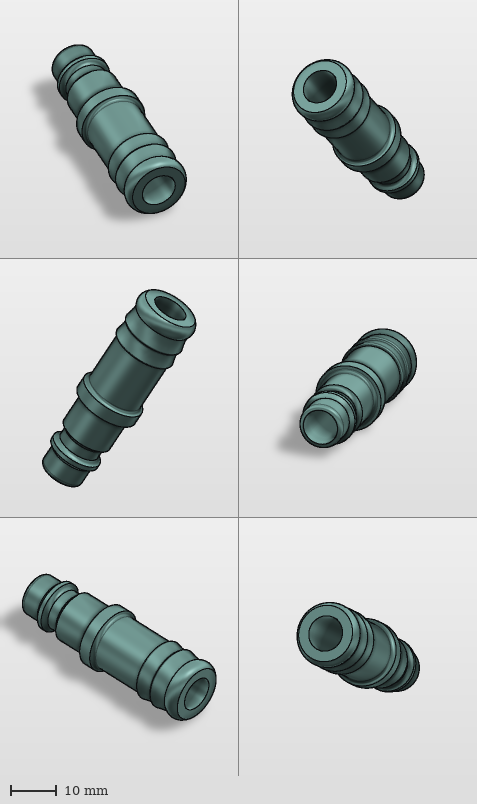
import cadquery as cq
import math

length = 48.0
bore_radius = 7.85 / 2

nose_radius = 10.0 / 2
groove_radius = 9.75 / 2
plug_radius = 12.0 / 2
flange_radius = 15.0 / 2
shank_radius = 13.1 / 2

nose_fillet = 1.0
flange_front_fillet = 0.75
flange_rear_fillet = 0.9

collar_cone_start = 5.1
collar_start = 6.0
collar_end = 7.1
groove_start = 8.1
groove_end = 10.5
plug_start = 11.45
flange_start = 20.0
flange_end = 23.0

flank_arc_radius = 1.75

barb_radius = 7.2
barb_start = 36.5
barb_pitch = 4.0
barb_count = 2
barb_crest_fillet = 0.35
barb_back_arc_radius = 15.0
barb_root_radius = 6.64
barb_step_run = 0.75

bead_start = 44.45
bead_radius = 7.2
bead_arc_radius = 2.5
bead_crest = 46.05


def concave_arc(profile, start, end, radius):
    """Add an arc from start to end that sags toward the axis."""
    chord_x = end[0] - start[0]
    chord_r = end[1] - start[1]
    chord = math.hypot(chord_x, chord_r)
    sag = radius - math.sqrt(radius**2 - (chord / 2) ** 2)
    middle_x = (start[0] + end[0]) / 2 + sag * chord_r / chord
    middle_r = (start[1] + end[1]) / 2 - sag * chord_x / chord
    return profile.threePointArc((middle_x, middle_r), end)


def add_nose_and_collar(profile):
    """Rounded nose, then the coned locking collar."""
    profile = profile.lineTo(0, nose_radius - nose_fillet)
    profile = profile.radiusArc((nose_fillet, nose_radius), nose_fillet)
    profile = profile.lineTo(collar_cone_start, nose_radius)
    profile = profile.lineTo(collar_start, plug_radius)
    return profile.lineTo(collar_end, plug_radius)


def add_groove(profile):
    """Locking groove with concave flanks."""
    left_top = (collar_end, plug_radius)
    left_bottom = (groove_start, groove_radius)
    right_bottom = (groove_end, groove_radius)
    right_top = (plug_start, plug_radius)
    profile = concave_arc(profile, left_top, left_bottom, flank_arc_radius)
    profile = profile.lineTo(*right_bottom)
    return concave_arc(profile, right_bottom, right_top, flank_arc_radius)


def add_flange(profile):
    """Flange with a fillet at the foot of each face."""
    front_foot = (flange_start - flange_front_fillet, plug_radius)
    front_top = (flange_start, plug_radius + flange_front_fillet)
    rear_top = (flange_end, shank_radius + flange_rear_fillet)
    rear_foot = (flange_end + flange_rear_fillet, shank_radius)
    profile = profile.lineTo(*front_foot)
    profile = concave_arc(profile, front_foot, front_top, flange_front_fillet)
    profile = profile.lineTo(flange_start, flange_radius)
    profile = profile.lineTo(flange_end, flange_radius)
    profile = profile.lineTo(*rear_top)
    return concave_arc(profile, rear_top, rear_foot, flange_rear_fillet)


def bead_radius_at(x):
    """Radius of the bead surface at station x."""
    return bead_radius - bead_arc_radius + math.sqrt(bead_arc_radius**2 - (x - bead_crest) ** 2)


def add_barb_step(profile, root, crest):
    """Rise from a barb root to the next crest along two equal arcs, concave then convex."""
    run = crest[0] - root[0]
    rise = crest[1] - root[1]
    step_radius = (run**2 + rise**2) / (4 * rise)
    middle = (root[0] + run / 2, root[1] + rise / 2)
    profile = concave_arc(profile, root, middle, step_radius)
    return profile.radiusArc(crest, step_radius)


def add_barbs(profile):
    """Barbs with rounded crests and concave backs."""
    profile = profile.lineTo(barb_start, shank_radius)
    profile = profile.lineTo(barb_start, barb_radius - barb_crest_fillet)
    crest = (barb_start + barb_crest_fillet, barb_radius)
    profile = profile.radiusArc(crest, barb_crest_fillet)
    for _ in range(barb_count - 1):
        next_crest = (crest[0] + barb_pitch, barb_radius)
        root = (next_crest[0] - barb_step_run, barb_root_radius)
        profile = concave_arc(profile, crest, root, barb_back_arc_radius)
        profile = add_barb_step(profile, root, next_crest)
        crest = next_crest
    bead_foot = (bead_start, bead_radius_at(bead_start))
    return concave_arc(profile, crest, bead_foot, barb_back_arc_radius)


def add_bead(profile):
    """Convex bead that ends at the hose-side face."""
    bead_end = (length, bead_radius_at(length))
    return profile.threePointArc((bead_crest, bead_radius), bead_end)


profile = cq.Workplane("XY").moveTo(0, bore_radius)
profile = add_nose_and_collar(profile)
profile = add_groove(profile)
profile = add_flange(profile)
profile = add_barbs(profile)
profile = add_bead(profile)
profile = profile.lineTo(length, bore_radius).close()

result = profile.revolve(360, (0, 0, 0), (1, 0, 0))